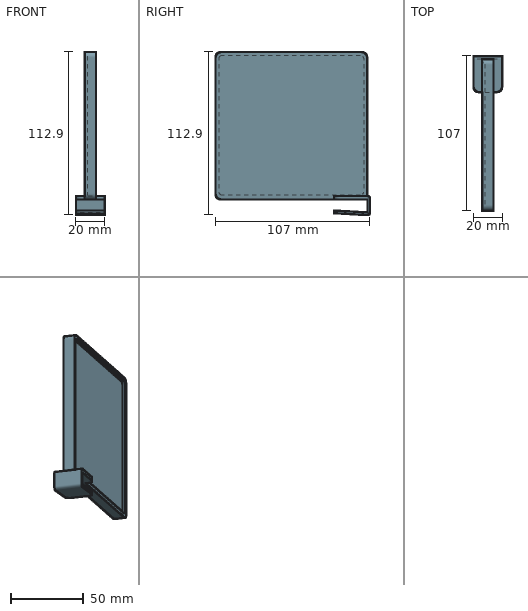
import cadquery as cq
import math

total_depth = 107.0
total_height = 112.9

clip_width = 20.0
clip_length = 25.0
clip_wall = 2.0
upper_arm_thickness = 2.6
lower_arm_thickness = 2.0
upper_arm_top = 13.4
lower_arm_slope = 3.3
clip_bend_radius = 2.0
clip_corner_radius = 4.0

panel_thickness = 8.0
panel_corner_radius = 4.0
panel_depth = total_depth - clip_wall
panel_bottom = upper_arm_top - upper_arm_thickness
panel_height = total_height - panel_bottom

recess_depth = 2.0
recess_corner_radius = 2.5
rim_side = 2.4
rim_top = 2.4
rim_bottom = 3.0

panel_back = panel_depth / 2
clip_back = panel_back + clip_wall
clip_front = clip_back - clip_length


def make_panel():
    panel = (
        cq.Workplane("XY")
        .box(panel_thickness, panel_depth, panel_height)
        .edges("|X")
        .fillet(panel_corner_radius)
        .translate((0, 0, panel_bottom + panel_height / 2))
    )
    recess_height = panel_height - rim_top - rim_bottom
    recess = (
        cq.Workplane("XY")
        .box(recess_depth, panel_depth - 2 * rim_side, recess_height)
        .edges("|X")
        .fillet(recess_corner_radius)
        .translate((
            (recess_depth - panel_thickness) / 2,
            0,
            panel_bottom + rim_bottom + recess_height / 2,
        ))
    )
    return panel.cut(recess)


def make_clip():
    slope = math.tan(math.radians(lower_arm_slope))
    corner_z = clip_bend_radius * (1 - slope - math.hypot(1, slope))
    arm_end_z = corner_z + clip_length * slope
    inner_floor_back = corner_z + clip_wall * slope + lower_arm_thickness
    inner_floor_front = arm_end_z + lower_arm_thickness
    profile = [
        (clip_back, corner_z),
        (clip_back, upper_arm_top),
        (clip_front, upper_arm_top),
        (clip_front, panel_bottom),
        (panel_back, panel_bottom),
        (panel_back, inner_floor_back),
        (clip_front, inner_floor_front),
        (clip_front, arm_end_z),
    ]
    clip = (
        cq.Workplane("YZ")
        .polyline(profile)
        .close()
        .extrude(clip_width / 2, both=True)
        .edges("|X and >Y")
        .fillet(clip_bend_radius)
    )
    footprint = (
        cq.Workplane("XY")
        .rect(clip_width, clip_length)
        .extrude(upper_arm_top)
        .edges("|Z and <Y")
        .fillet(clip_corner_radius)
        .translate((0, clip_back - clip_length / 2, 0))
    )
    return clip.intersect(footprint)


result = make_panel().union(make_clip())